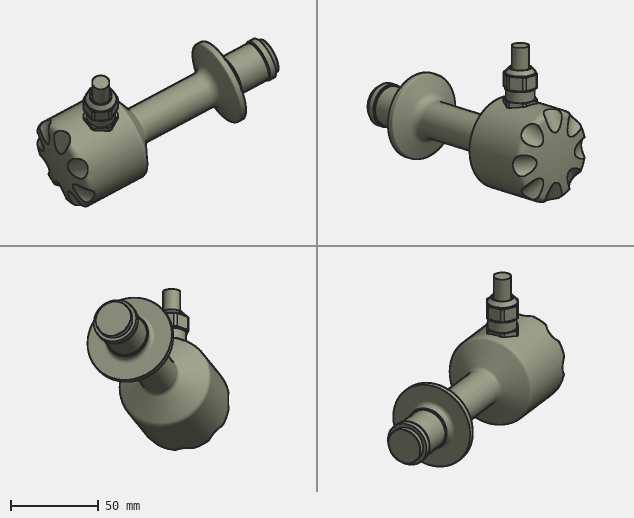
import cadquery as cq
import math

total_length = 145.3

lip_diameter = 21.0
lip_length = 3.2
lip_hollow_depth = 1.0
collar_diameter = 25.3
front_collar_end = 7.1
sleeve_diameter = 24.0
relief_width = 0.6
relief_diameter = 23.4
rear_chamfer_start = 26.4
rear_collar_start = 27.2
rear_collar_end = 29.6
collar_fillet = 2.5

flange_diameter = 50.5
flange_start = rear_collar_end + collar_fillet
flange_rim_end = 35.2
flange_edge_round = 1.0
flange_cone_angle = 20.0
flange_root_fillet = 6.0

neck_diameter = 22.0
housing_diameter = 54.5
housing_cone_start = 89.9
housing_cone_angle = 30.0
housing_fillet = 3.0

cap_dome_radius = 137.0
cap_edge_fillet = 4.0
grip_count = 8
grip_radius = 8.0
grip_tilt = 30.0
grip_floor_inner_radius = 15.0
grip_floor_inner_depth = 0.8
grip_cutter_length = 60.0

gland_from_end = 115.3
gland_across_flats = 18.0
gland_corner_diameter = 19.8
gland_neck_diameter = 16.79
gland_shoulder_diameter = 17.8
gland_top_diameter = 12.8
gland_bore_diameter = 12.0
gland_bore_depth = 1.0
gland_base_top = 28.8
gland_shoulder_bottom = 35.3
gland_nut_bottom = 36.1
gland_nut_top = 44.2
gland_shoulder_top = 44.9
gland_top = 47.6
cable_diameter = 10.0
cable_top = 60.8


def y_at(from_end):
    return total_length - from_end


def revolve_about_y(profile):
    return profile.close().revolve(360, (0, 0, 0), (0, 1, 0))


def make_process_end():
    lip_radius = lip_diameter / 2
    collar_radius = collar_diameter / 2
    sleeve_radius = sleeve_diameter / 2
    relief_radius = relief_diameter / 2
    profile = (
        cq.Workplane("XY")
        .moveTo(0, y_at(0))
        .lineTo(lip_radius, y_at(0))
        .threePointArc((lip_radius - lip_hollow_depth, y_at(lip_length / 2)), (lip_radius, y_at(lip_length)))
        .lineTo(collar_radius, y_at(lip_length))
        .lineTo(collar_radius, y_at(front_collar_end))
        .lineTo(relief_radius, y_at(front_collar_end))
        .lineTo(relief_radius, y_at(front_collar_end + relief_width))
        .lineTo(sleeve_radius, y_at(front_collar_end + relief_width))
        .lineTo(sleeve_radius, y_at(rear_chamfer_start))
        .lineTo(collar_radius, y_at(rear_collar_start))
        .lineTo(collar_radius, y_at(rear_collar_end))
        .radiusArc((collar_radius + collar_fillet, y_at(flange_start)), -collar_fillet)
        .lineTo(0, y_at(flange_start))
    )
    return revolve_about_y(profile)


def make_flange_and_housing():
    flange_radius = flange_diameter / 2
    neck_radius = neck_diameter / 2
    housing_radius = housing_diameter / 2
    slope = math.radians(flange_cone_angle)
    rim_turn = math.radians(90 - flange_cone_angle)
    cone_top_radius = flange_radius - flange_edge_round * (1 - math.cos(rim_turn))
    cone_top = flange_rim_end + flange_edge_round * math.sin(rim_turn)
    cone_foot_radius = neck_radius + flange_root_fillet * (1 - math.cos(rim_turn))
    cone_foot = cone_top + (cone_top_radius - cone_foot_radius) * math.tan(slope)
    flange_end = cone_foot + flange_root_fillet * math.sin(rim_turn)

    taper = math.radians(housing_cone_angle)
    taper_turn = math.radians(90 - housing_cone_angle)
    fillet_rise = housing_fillet * (1 - math.cos(taper_turn))
    fillet_run = housing_fillet * math.sin(taper_turn)
    cone_inner_radius = neck_radius + fillet_rise
    cone_outer_radius = housing_radius - fillet_rise
    cone_inner = housing_cone_start + fillet_run
    cone_outer = cone_inner + (cone_outer_radius - cone_inner_radius) * math.tan(taper)

    fillet_centre_radius = housing_radius - cap_edge_fillet
    centre_gap = cap_dome_radius - cap_edge_fillet
    fillet_centre_y = cap_dome_radius - math.sqrt(centre_gap**2 - fillet_centre_radius**2)
    dome_edge_radius = fillet_centre_radius * cap_dome_radius / centre_gap
    dome_edge_y = cap_dome_radius - math.sqrt(cap_dome_radius**2 - dome_edge_radius**2)
    dome_mid_radius = dome_edge_radius / 2
    dome_mid_y = cap_dome_radius - math.sqrt(cap_dome_radius**2 - dome_mid_radius**2)

    profile = (
        cq.Workplane("XY")
        .moveTo(0, y_at(flange_start))
        .lineTo(flange_radius, y_at(flange_start))
        .lineTo(flange_radius, y_at(flange_rim_end))
        .radiusArc((cone_top_radius, y_at(cone_top)), flange_edge_round)
        .lineTo(cone_foot_radius, y_at(cone_foot))
        .radiusArc((neck_radius, y_at(flange_end)), -flange_root_fillet)
        .lineTo(neck_radius, y_at(housing_cone_start))
        .radiusArc((cone_inner_radius, y_at(cone_inner)), -housing_fillet)
        .lineTo(cone_outer_radius, y_at(cone_outer))
        .radiusArc((housing_radius, y_at(cone_outer + fillet_run)), housing_fillet)
        .lineTo(housing_radius, fillet_centre_y)
        .radiusArc((dome_edge_radius, dome_edge_y), cap_edge_fillet)
        .threePointArc((dome_mid_radius, dome_mid_y), (0, 0))
    )
    return revolve_about_y(profile)


def make_grip_cutter():
    """Tilted cylinder whose lowest line is the floor of the grip at the top of the cap."""
    tilt = math.radians(grip_tilt)
    outward = cq.Vector(0, math.sin(tilt), math.cos(tilt))
    to_axis = cq.Vector(0, -math.cos(tilt), math.sin(tilt)) * grip_radius
    floor_point = cq.Vector(0, grip_floor_inner_depth, grip_floor_inner_radius)
    start = floor_point + to_axis - outward * (grip_cutter_length / 2)
    return cq.Workplane(cq.Solid.makeCylinder(grip_radius, grip_cutter_length, start, outward))


def make_gland():
    axis_y = y_at(gland_from_end)

    def rod(diameter, bottom, top):
        return cq.Workplane("XY", origin=(0, axis_y, bottom)).circle(diameter / 2).extrude(top - bottom)

    def hexagon(bottom, top):
        """Hexagonal prism with two corners along X and its corners turned round."""
        corner_to_corner = gland_across_flats / math.cos(math.radians(30))
        plane = cq.Workplane("XY", origin=(0, axis_y, bottom))
        prism = plane.polygon(6, corner_to_corner).extrude(top - bottom)
        return prism.intersect(rod(gland_corner_diameter, bottom, top))

    base = hexagon(0, gland_base_top)
    neck = rod(gland_neck_diameter, 0, gland_shoulder_bottom)
    shoulder = rod(gland_shoulder_diameter, gland_shoulder_bottom, gland_shoulder_top)
    nut = hexagon(gland_nut_bottom, gland_nut_top)
    top_cone = (
        cq.Workplane("XY", origin=(0, axis_y, gland_shoulder_top))
        .circle(gland_shoulder_diameter / 2)
        .workplane(offset=gland_top - gland_shoulder_top)
        .circle(gland_top_diameter / 2)
        .loft()
    )
    bore = rod(gland_bore_diameter, gland_top - gland_bore_depth, gland_top)
    cable = rod(cable_diameter, 0, cable_top)
    return base.union(neck).union(shoulder).union(nut).union(top_cone).cut(bore).union(cable)


body = make_process_end().union(make_flange_and_housing())
grip_cutter = make_grip_cutter()
for index in range(grip_count):
    body = body.cut(grip_cutter.rotate((0, 0, 0), (0, 1, 0), index * 360 / grip_count))

result = body.union(make_gland())